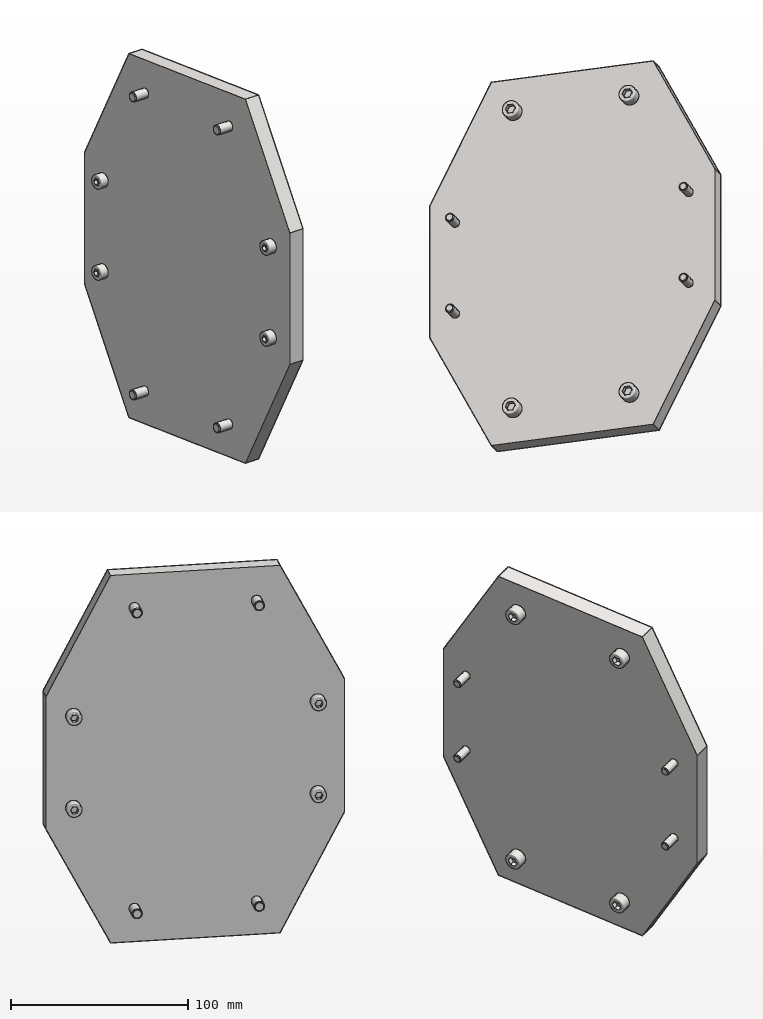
import cadquery as cq
import math

plate_height = 220.0
plate_width = 171.0
plate_thickness = 10.1
top_edge_width = 97.0
side_edge_height = 79.5

shank_projection = 10.0

large_x = 35.0
large_z = 90.0
large_head_diameter = 10.0
large_head_height = 6.0
large_shank_diameter = 6.0
large_socket_flats = 5.0
large_head_fillet = 0.6

small_x = 70.0
small_z = 27.5
small_head_diameter = 8.5
small_head_height = 5.0
small_shank_diameter = 5.0
small_socket_flats = 4.0
small_head_fillet = 0.5

shank_chamfer = 0.55
socket_depth_ratio = 0.5


def make_plate():
    """Octagon in the XZ plane, extruded evenly to both sides."""
    half_width = plate_width / 2
    half_height = plate_height / 2
    half_top = top_edge_width / 2
    half_side = side_edge_height / 2
    outline = [
        (half_top, half_height),
        (half_width, half_side),
        (half_width, -half_side),
        (half_top, -half_height),
        (-half_top, -half_height),
        (-half_width, -half_side),
        (-half_width, half_side),
        (-half_top, half_height),
    ]
    return cq.Workplane("XZ").polyline(outline).close().extrude(plate_thickness / 2, both=True)


def make_screw(head_diameter, head_height, shank_diameter, socket_flats, head_fillet):
    """Socket head screw along Y: head on the front face, shank through to the back."""
    front_y = -plate_thickness / 2
    head = (
        cq.Workplane("XZ", origin=(0, front_y, 0))
        .circle(head_diameter / 2)
        .extrude(head_height)
        .faces("<Y").edges().fillet(head_fillet)
    )
    shank = (
        cq.Workplane("XZ", origin=(0, front_y, 0))
        .circle(shank_diameter / 2)
        .extrude(-(plate_thickness + shank_projection))
        .faces(">Y").edges().chamfer(shank_chamfer)
    )
    socket_corners = socket_flats / math.cos(math.pi / 6)
    socket = (
        cq.Workplane("XZ", origin=(0, front_y - head_height, 0))
        .polygon(6, socket_corners)
        .extrude(-head_height * socket_depth_ratio)
    )
    return head.union(shank).cut(socket)


def add_screws(body, screw, x, z):
    """Join one screw at each of the four mirrored positions."""
    for side in (-1, 1):
        for level in (-1, 1):
            body = body.union(screw.translate((side * x, 0, level * z)))
    return body


small_screw = make_screw(
    small_head_diameter, small_head_height, small_shank_diameter, small_socket_flats, small_head_fillet
)
large_screw = make_screw(
    large_head_diameter, large_head_height, large_shank_diameter, large_socket_flats, large_head_fillet
).rotate((0, 0, 0), (0, 0, 1), 180)

result = make_plate()
result = add_screws(result, small_screw, small_x, small_z)
result = add_screws(result, large_screw, large_x, large_z)